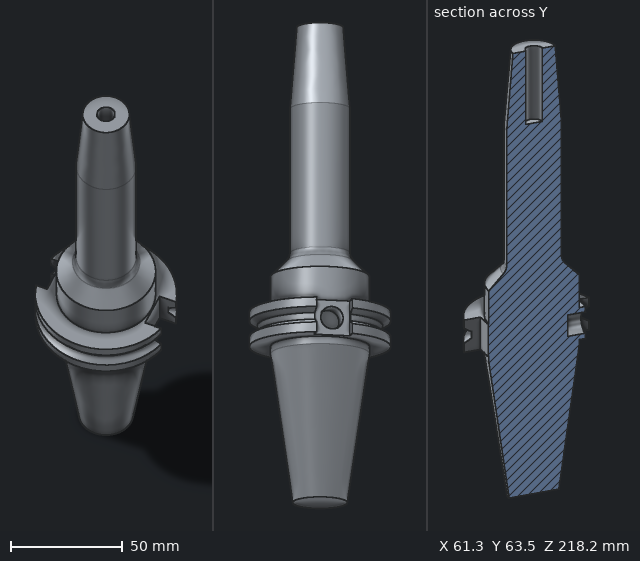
import cadquery as cq
import math

total_height = 218.2

taper_height = 68.3
gauge_radius = 22.3
taper_ratio = 7 / 24
taper_tip_radius = gauge_radius - taper_height * taper_ratio / 2

flange_diameter = 63.5
flange_radius = flange_diameter / 2
flange_bottom = 71.5
flange_top = 87.5
groove_center = 79.7
groove_width = 7.2
groove_floor_radius = 28.2
groove_flank_angle = math.radians(30)
groove_flank_height = (flange_radius - groove_floor_radius) * math.tan(groove_flank_angle)

collar_top = 103.7
shank_radius = 13.5
shoulder_top = collar_top + gauge_radius - shank_radius
shoulder_fillet = 5.5
edge_search_margin = 0.2

nose_bottom = 181.0
nose_tip_radius = 10.5
bore_diameter = 8.0
bore_depth = 36.0

slot_width = 16.4
left_slot_floor = 25.3
right_slot_floor = 22.7

side_hole_diameter = 10.3
side_hole_depth = 8.7
side_hole_height = (flange_bottom + flange_top) / 2


def make_body():
    """Revolved body, without the flange."""
    profile = [
        (0, 0),
        (taper_tip_radius, 0),
        (gauge_radius, taper_height),
        (gauge_radius, collar_top),
        (shank_radius, shoulder_top),
        (shank_radius, nose_bottom),
        (nose_tip_radius, total_height),
        (0, total_height),
    ]
    body = cq.Workplane("XZ").polyline(profile).close().revolve(360, (0, 0, 0), (0, 1, 0))
    shoulder_edge = cq.selectors.BoxSelector(
        (-flange_radius, -flange_radius, shoulder_top - edge_search_margin),
        (flange_radius, flange_radius, shoulder_top + edge_search_margin),
    )
    return body.edges(shoulder_edge).fillet(shoulder_fillet)


def make_flange():
    """Revolved flange with a V-groove around its rim."""
    groove_bottom = groove_center - groove_width / 2
    groove_top = groove_center + groove_width / 2
    profile = [
        (0, flange_bottom),
        (flange_radius, flange_bottom),
        (flange_radius, groove_bottom),
        (groove_floor_radius, groove_bottom + groove_flank_height),
        (groove_floor_radius, groove_top - groove_flank_height),
        (flange_radius, groove_top),
        (flange_radius, flange_top),
        (0, flange_top),
    ]
    return cq.Workplane("XZ").polyline(profile).close().revolve(360, (0, 0, 0), (0, 1, 0))


def make_slot(side, floor):
    """Cutter for one drive slot; side is -1 for -X and +1 for +X."""
    return (
        cq.Workplane("XY", origin=(side * (floor + flange_radius / 2), 0, flange_bottom))
        .box(flange_radius, slot_width, flange_top - flange_bottom, centered=(True, True, False))
    )


def make_bore():
    """Cutter for the tool bore in the nose."""
    return (
        cq.Workplane("XY", origin=(0, 0, total_height))
        .circle(bore_diameter / 2)
        .extrude(-bore_depth)
    )


def make_side_hole():
    """Cutter for the hole running from the left slot floor toward the axis."""
    return (
        cq.Workplane("YZ", origin=(-left_slot_floor, 0, side_hole_height))
        .circle(side_hole_diameter / 2)
        .extrude(side_hole_depth)
    )


result = make_body().union(make_flange())
result = result.cut(make_slot(-1, left_slot_floor))
result = result.cut(make_slot(1, right_slot_floor))
result = result.cut(make_bore())
result = result.cut(make_side_hole())